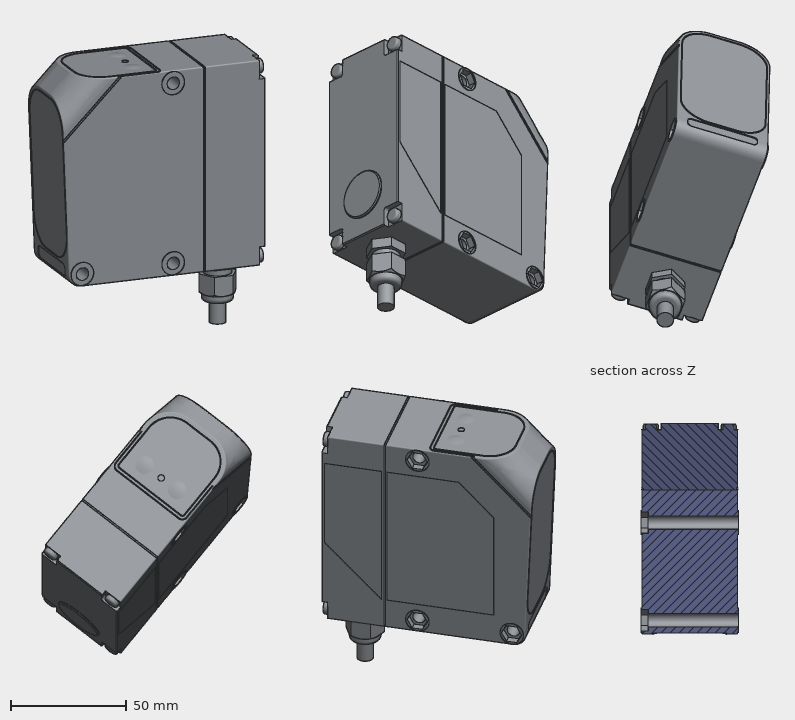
import cadquery as cq
import math

BODY_WIDTH = 41.7
BODY_HEIGHT = 93.0
FOOT_Y = -91.3
BROW_Y = -94.5
FOOT_RADIUS = 5.7
BEVEL_TOP_Y = -85.4
BEVEL_CORNER_RADIUS = 14.5
EDGE_RADIUS = 0.6
REAR_CHAMFER = 0.5
BROW_Z = BODY_HEIGHT - (BEVEL_TOP_Y - BROW_Y)
SIDE_X = BODY_WIDTH / 2
FRONT_TILT = math.atan2(FOOT_Y - BROW_Y, BROW_Z - FOOT_RADIUS)

JOINT_WIDTH = 0.7
JOINT_DEPTH = 0.4
COVER_EDGE_Y = -27.9
HOUSING_EDGE_Y = COVER_EDGE_Y - JOINT_WIDTH

HOLE_DIAMETER = 5.7
BOSS_DIAMETER = 10.5
BOSS_HEIGHT = 0.4
NUT_ACROSS_FLATS = 7.9
NUT_DEPTH = 3.2
HOLE_LOW_Z = 5.7
HOLE_HIGH_Z = 87.4
HOLE_REAR_Y = -43.0
HOLE_FRONT_Y = -85.3
HOLES = [(HOLE_REAR_Y, HOLE_LOW_Z), (HOLE_REAR_Y, HOLE_HIGH_Z), (HOLE_FRONT_Y, HOLE_LOW_Z)]

SEAM_WIDTH = 0.4
SEAM_DEPTH = 0.2
LABEL_DEPTH = 0.1

WINDOW_WIDTH = 39.2
WINDOW_BOTTOM_Z = 10.1
WINDOW_TOP_Z = 82.2
WINDOW_RADIUS = 13.1
FRONT_LABEL_WIDTH = 31.9
FRONT_LABEL_BOTTOM_Z = 3.5
FRONT_LABEL_TOP_Z = 9.0
FRONT_LABEL_RADIUS = 2.0
FRONT_LABEL_DEPTH = 0.5

PANEL_WIDTH = 36.6
PANEL_REAR_Y = -49.2
PANEL_FRONT_Y = -83.4
PANEL_REAR_RADIUS = 1.2
PANEL_FRONT_RADIUS = 11.9
FRAME_WIDTH = 39.5
FRAME_REAR_Y = -47.6
FRAME_REAR_RADIUS = 2.7
SIDE_SEAM_REAR_Y = -66.9
SIDE_SEAM_LENGTH = 1.2
SIDE_SEAM_FRONT_Y = SIDE_SEAM_REAR_Y - SIDE_SEAM_LENGTH
CONTROLS_Y = -57.1
BUTTON_X = 9.0
BUTTON_DIAMETER = 8.0
BUTTON_HEIGHT = 0.4
LAMP_DIAMETER = 2.8

LABEL_BOTTOM_Z = 13.8
LABEL_TOP_Z = 79.2
COVER_LABEL_YS = (-26.8, -1.4)
COVER_LABEL_CUT_Z = 38.8
HOUSING_LABEL_YS = (-77.1, -29.4)
HOUSING_LABEL_CUT = 15.7

POCKET_SIZE = 8.4
POCKET_DEPTH = 2.7
POCKET_RADIUS = 1.2
SCREW_DIAMETER = 6.5
SCREW_HEIGHT = 2.5
SCREW_ROUNDING = 1.0
SCREW_INSET_X = 4.0
SCREW_INSET_Z = 3.6
PLUG_DIAMETER = 22.2
PLUG_HEIGHT = 1.0
PLUG_CHAMFER = 0.5
PLUG_Z = 20.1

GLAND_Y = -14.1
GLAND_ACROSS_FLATS = 15.1
GLAND_CORNER_DIAMETER = GLAND_ACROSS_FLATS / math.cos(math.pi / 6)
BASE_HEX_BOTTOM = -4.6
NECK_DIAMETER = 12.5
NECK_BOTTOM = -7.5
CAP_HEX_BOTTOM = -16.8
CAP_CHAMFER_AXIAL = 1.1
CAP_CHAMFER_RADIAL = 1.5
COLLAR_DIAMETER = 14.0
COLLAR_BOTTOM = -20.4
COLLAR_ROUNDING = 1.9
CABLE_DIAMETER = 7.3
CABLE_BOTTOM = -30.3

BIG = 2 * BODY_HEIGHT


def box(x_range, y_range, z_range):
    """Box spanning the given ranges."""
    size = [high - low for low, high in (x_range, y_range, z_range)]
    return cq.Workplane("XY").box(*size, centered=False).translate((x_range[0], y_range[0], z_range[0]))


def enclosure_prism():
    """Side outline of the enclosure, extruded symmetrically along X."""
    foot_end = (FOOT_Y, FOOT_RADIUS)
    foot_center_y = FOOT_Y + FOOT_RADIUS / math.cos(FRONT_TILT)
    arc_angle = math.radians(225)
    arc_middle = (
        foot_center_y + FOOT_RADIUS * math.cos(arc_angle),
        FOOT_RADIUS + FOOT_RADIUS * math.sin(arc_angle),
    )
    return (
        cq.Workplane("YZ")
        .moveTo(0, 0)
        .lineTo(0, BODY_HEIGHT)
        .lineTo(BEVEL_TOP_Y, BODY_HEIGHT)
        .lineTo(BROW_Y, BROW_Z)
        .lineTo(*foot_end)
        .threePointArc(arc_middle, (foot_center_y, 0))
        .close()
        .extrude(SIDE_X, both=True)
    )


def bevel_envelope():
    """Skew prism along the 45 degree bevel, front corners rounded in plan."""
    straight_x = SIDE_X - BEVEL_CORNER_RADIUS
    arc_y = BEVEL_TOP_Y + BEVEL_CORNER_RADIUS
    wire = (
        cq.Workplane("XY", origin=(0, 0, BODY_HEIGHT))
        .moveTo(SIDE_X, BIG)
        .lineTo(SIDE_X, arc_y)
        .radiusArc((straight_x, BEVEL_TOP_Y), BEVEL_CORNER_RADIUS)
        .lineTo(-straight_x, BEVEL_TOP_Y)
        .radiusArc((-SIDE_X, arc_y), BEVEL_CORNER_RADIUS)
        .lineTo(-SIDE_X, BIG)
        .close()
        .val()
    )
    return cq.Workplane(cq.Solid.extrudeLinear(wire, [], cq.Vector(0, -BODY_HEIGHT, -BODY_HEIGHT)))


def make_enclosure():
    """Outer shape of housing and cover together."""
    shape = enclosure_prism().intersect(bevel_envelope())
    front_rim = shape.edges("<Y")
    top_rim = shape.faces(">Z").edges("<Y")
    return front_rim.add(top_rim).fillet(EDGE_RADIUS)


def mounting_hole_cutter(y, z):
    """Through hole with a hexagonal nut pocket on the -X side."""
    boss_x = SIDE_X + BOSS_HEIGHT
    start = cq.Workplane("YZ", origin=(-boss_x, y, z))
    hole = start.circle(HOLE_DIAMETER / 2).extrude(2 * boss_x)
    nut = start.polygon(6, NUT_ACROSS_FLATS / math.cos(math.pi / 6)).extrude(NUT_DEPTH)
    return hole.union(nut)


def mounting_boss(y, z):
    """Raised round pads on both sides of the housing, as one bar through it."""
    length = SIDE_X + BOSS_HEIGHT
    return cq.Workplane("YZ", origin=(0, y, z)).circle(BOSS_DIAMETER / 2).extrude(length, both=True)


def front_face_block(width, bottom_z, top_z, radius, depth):
    """Rounded rectangle reaching the given depth below the slanted front face."""
    normal = (0, -math.cos(FRONT_TILT), -math.sin(FRONT_TILT))
    plane = cq.Plane(origin=(0, FOOT_Y, FOOT_RADIUS), xDir=(1, 0, 0), normal=normal)
    outline = cq.Sketch().rect(width, top_z - bottom_z).vertices().fillet(radius)
    middle = (bottom_z + top_z) / 2 - FOOT_RADIUS
    return cq.Workplane(plane).center(0, middle).placeSketch(outline).extrude(depth, both=True)


def window_seam():
    """Groove round the window."""
    outer = front_face_block(WINDOW_WIDTH, WINDOW_BOTTOM_Z, WINDOW_TOP_Z, WINDOW_RADIUS, SEAM_DEPTH)
    inner = front_face_block(
        WINDOW_WIDTH - 2 * SEAM_WIDTH,
        WINDOW_BOTTOM_Z + SEAM_WIDTH,
        WINDOW_TOP_Z - SEAM_WIDTH,
        WINDOW_RADIUS - SEAM_WIDTH,
        SEAM_DEPTH,
    )
    return outer.cut(inner)


def front_label():
    """Flat recess above and across the rounded lower edge."""
    return front_face_block(
        FRONT_LABEL_WIDTH,
        FRONT_LABEL_BOTTOM_Z,
        FRONT_LABEL_TOP_Z,
        FRONT_LABEL_RADIUS,
        FRONT_LABEL_DEPTH,
    )


def panel_block(width, rear_y, front_y, rear_radius, front_radius):
    """Rounded block reaching one seam depth below the top face."""
    block = box(
        (-width / 2, width / 2), (front_y, rear_y), (BODY_HEIGHT - SEAM_DEPTH, BODY_HEIGHT + SEAM_DEPTH)
    )
    block = block.edges("|Z and >Y").fillet(rear_radius)
    if front_radius:
        block = block.edges("|Z and <Y").fillet(front_radius)
    return block


def panel_seam():
    """Groove round the control panel."""
    outer = panel_block(PANEL_WIDTH, PANEL_REAR_Y, PANEL_FRONT_Y, PANEL_REAR_RADIUS, PANEL_FRONT_RADIUS)
    inner = panel_block(
        PANEL_WIDTH - 2 * SEAM_WIDTH,
        PANEL_REAR_Y - SEAM_WIDTH,
        PANEL_FRONT_Y + SEAM_WIDTH,
        PANEL_REAR_RADIUS - SEAM_WIDTH,
        PANEL_FRONT_RADIUS - SEAM_WIDTH,
    )
    return outer.cut(inner)


def frame_seam():
    """U-shaped groove on the top face, continued by a diagonal groove down each side."""
    outer = panel_block(FRAME_WIDTH, FRAME_REAR_Y, SIDE_SEAM_FRONT_Y, FRAME_REAR_RADIUS, 0)
    inner = panel_block(
        FRAME_WIDTH - 2 * SEAM_WIDTH,
        FRAME_REAR_Y - SEAM_WIDTH,
        SIDE_SEAM_FRONT_Y,
        FRAME_REAR_RADIUS - SEAM_WIDTH,
        0,
    )
    diagonal = (
        cq.Workplane("YZ")
        .moveTo(SIDE_SEAM_REAR_Y, BODY_HEIGHT)
        .line(-BODY_HEIGHT, -BODY_HEIGHT)
        .line(-SIDE_SEAM_LENGTH, 0)
        .line(BODY_HEIGHT, BODY_HEIGHT)
        .close()
        .extrude(SIDE_X, both=True)
    )
    core_x = SIDE_X - SEAM_DEPTH
    core = box((-core_x, core_x), (-BIG, 0), (-BIG, BIG))
    return outer.cut(inner).union(diagonal.cut(core))


def button(x):
    """Low spherical cap on the control panel."""
    radius = BUTTON_DIAMETER / 2
    sphere_radius = (radius**2 + BUTTON_HEIGHT**2) / (2 * BUTTON_HEIGHT)
    sphere_z = BODY_HEIGHT + BUTTON_HEIGHT - sphere_radius
    ball = cq.Workplane("XY", origin=(x, CONTROLS_Y, sphere_z)).sphere(sphere_radius)
    column = (
        cq.Workplane("XY", origin=(x, CONTROLS_Y, BODY_HEIGHT - BUTTON_HEIGHT))
        .circle(radius)
        .extrude(2 * BUTTON_HEIGHT)
    )
    return column.intersect(ball)


def side_label(points):
    """Thin recess with the given (y, z) corners on the -X side."""
    return cq.Workplane("YZ", origin=(-SIDE_X, 0, 0)).polyline(points).close().extrude(LABEL_DEPTH)


def make_housing():
    """Front housing with bevel, window, control panel and mounting holes."""
    front_part = box((-BIG, BIG), (-BIG, HOUSING_EDGE_Y), (-BIG, BIG))
    housing = make_enclosure().intersect(front_part)

    front_y, rear_y = HOUSING_LABEL_YS
    label_corners = [
        (rear_y, LABEL_BOTTOM_Z),
        (rear_y, LABEL_TOP_Z),
        (front_y + HOUSING_LABEL_CUT, LABEL_TOP_Z),
        (front_y, LABEL_TOP_Z - HOUSING_LABEL_CUT),
        (front_y, LABEL_BOTTOM_Z),
    ]
    lamp = (
        cq.Workplane("XY", origin=(0, CONTROLS_Y, BODY_HEIGHT))
        .circle(LAMP_DIAMETER / 2)
        .extrude(-SEAM_DEPTH)
    )
    for cutter in (window_seam(), front_label(), panel_seam(), frame_seam(), side_label(label_corners), lamp):
        housing = housing.cut(cutter)

    for x in (-BUTTON_X, BUTTON_X):
        housing = housing.union(button(x))
    for y, z in HOLES:
        housing = housing.union(mounting_boss(y, z)).cut(mounting_hole_cutter(y, z))
    return housing


def corner_pocket(x_sign, at_top):
    """Square notch in a rear corner with a rounded inner edge."""
    inner_x = SIDE_X - POCKET_SIZE
    notch = box((inner_x, BODY_WIDTH), (-POCKET_DEPTH, POCKET_DEPTH), (BODY_HEIGHT - POCKET_SIZE, BIG))
    notch = notch.edges("|Y and <X and <Z").fillet(POCKET_RADIUS)
    if x_sign < 0:
        notch = notch.mirror("YZ")
    if not at_top:
        notch = notch.mirror("XY").translate((0, 0, BODY_HEIGHT))
    return notch


def corner_screw(x_sign, at_top):
    """Rounded screw head standing on the floor of a corner pocket."""
    x = x_sign * (SIDE_X - SCREW_INSET_X)
    z = BODY_HEIGHT - SCREW_INSET_Z if at_top else SCREW_INSET_Z
    return (
        cq.Workplane("XZ", origin=(x, -POCKET_DEPTH, z))
        .circle(SCREW_DIAMETER / 2)
        .extrude(-SCREW_HEIGHT)
        .faces(">Y")
        .edges()
        .fillet(SCREW_ROUNDING)
    )


def gland_section(top, bottom):
    """Start of a gland section: workplane at its top, and its length."""
    return cq.Workplane("XY", origin=(0, GLAND_Y, top)), bottom - top


def gland_hex(top, bottom):
    """Hexagon with corners towards -Y and +Y."""
    plane, length = gland_section(top, bottom)
    return plane.transformed(rotate=(0, 0, 90)).polygon(6, GLAND_CORNER_DIAMETER).extrude(length)


def gland_round(diameter, top, bottom):
    """Cylinder on the gland axis."""
    plane, length = gland_section(top, bottom)
    return plane.circle(diameter / 2).extrude(length)


def cable_gland():
    """Base hexagon, neck, chamfered cap hexagon, rounded collar and cable stub."""
    cap_turning = (
        gland_round(GLAND_CORNER_DIAMETER, NECK_BOTTOM, CAP_HEX_BOTTOM)
        .faces("<Z")
        .chamfer(CAP_CHAMFER_AXIAL, CAP_CHAMFER_RADIAL)
    )
    collar = gland_round(COLLAR_DIAMETER, CAP_HEX_BOTTOM, COLLAR_BOTTOM)
    return (
        gland_hex(0, BASE_HEX_BOTTOM)
        .union(gland_round(NECK_DIAMETER, BASE_HEX_BOTTOM, NECK_BOTTOM))
        .union(gland_hex(NECK_BOTTOM, CAP_HEX_BOTTOM).intersect(cap_turning))
        .union(collar.faces("<Z").edges().fillet(COLLAR_ROUNDING))
        .union(gland_round(CABLE_DIAMETER, COLLAR_BOTTOM, CABLE_BOTTOM))
    )


def make_cover():
    """Rear cover with joint lip, corner screws, plug and cable gland."""
    rear_part = box((-BIG, BIG), (COVER_EDGE_Y, BIG), (-BIG, BIG))
    lip = box(
        (JOINT_DEPTH - SIDE_X, SIDE_X - JOINT_DEPTH),
        (HOUSING_EDGE_Y, COVER_EDGE_Y),
        (JOINT_DEPTH, BODY_HEIGHT - JOINT_DEPTH),
    )
    cover = make_enclosure().faces(">Y").chamfer(REAR_CHAMFER).intersect(rear_part).union(lip)

    for x_sign in (-1, 1):
        for at_top in (False, True):
            cover = cover.cut(corner_pocket(x_sign, at_top)).union(corner_screw(x_sign, at_top))

    front_y, rear_y = COVER_LABEL_YS
    label_corners = [
        (front_y, LABEL_BOTTOM_Z),
        (front_y, LABEL_TOP_Z),
        (rear_y, LABEL_TOP_Z),
        (rear_y, COVER_LABEL_CUT_Z),
    ]
    plug = (
        cq.Workplane("XZ", origin=(0, 0, PLUG_Z))
        .circle(PLUG_DIAMETER / 2)
        .extrude(-PLUG_HEIGHT)
        .faces(">Y")
        .chamfer(PLUG_CHAMFER)
    )
    return cover.cut(side_label(label_corners)).union(plug).union(cable_gland())


housing = make_housing()
cover = make_cover()

result = cq.Compound.makeCompound([housing.val(), cover.val()])